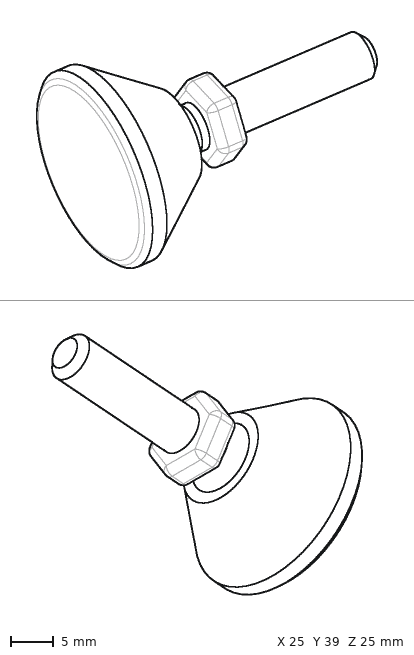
import cadquery as cq
import math

total_length = 39.0

pad_diameter = 25.0
pad_top_diameter = 12.0
pad_height = 12.0
rim_top = 3.0
edge_size = 1.0
pad_radius = pad_diameter / 2
pad_top_radius = pad_top_diameter / 2
sole_radius = pad_radius - edge_size

ball_radius = 5.0
ball_height = 2 * ball_radius

rod_diameter = 6.0
rod_radius = rod_diameter / 2
hex_across_flats = 10.0
hex_thickness = 3.98
hex_bottom = 15.0
hex_across_corners = hex_across_flats / math.cos(math.pi / 6)


def on_axis(height):
    """Workplane across the Y axis at a height, drawing towards +Y, local X along X."""
    return cq.Workplane(cq.Plane(origin=(0, height, 0), xDir=(1, 0, 0), normal=(0, 1, 0)))


def make_ball():
    """Sphere shared by the stud end and the socket in the pad."""
    return cq.Workplane("XY").sphere(ball_radius).translate((0, ball_height, 0))


def make_pad():
    """Conical foot with a chamfered rim, a rounded sole edge and a ball socket."""
    body = (
        cq.Workplane("XY")
        .moveTo(0, 0)
        .lineTo(sole_radius, 0)
        .lineTo(pad_radius, edge_size)
        .lineTo(pad_radius, rim_top)
        .lineTo(pad_top_radius, pad_height)
        .lineTo(0, pad_height)
        .close()
        .revolve(360, (0, 0), (0, 1))
    )
    rounded = body.faces("<Y").edges().fillet(edge_size)
    return rounded.cut(make_ball())


def make_hex_collar():
    """Wrench collar with its corners along X and every edge rounded."""
    prism = on_axis(hex_bottom).polygon(6, hex_across_corners).extrude(hex_thickness)
    return prism.edges().fillet(edge_size)


def make_stud():
    """Ball, neck, collar and chamfered rod in one piece."""
    rod_length = total_length - ball_height
    rod = on_axis(ball_height).circle(rod_radius).extrude(rod_length)
    rod = rod.faces(">Y").chamfer(edge_size)
    return rod.union(make_ball()).union(make_hex_collar())


pad = make_pad()
stud = make_stud()

result = cq.Compound.makeCompound([pad.solids().val(), stud.solids().val()])